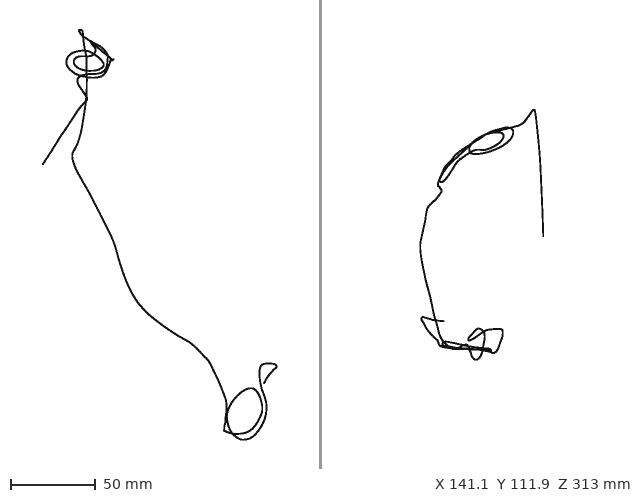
import cadquery as cq

WIRE_DIAMETER = 0.5


NEEDLE = [
    (-27.2, -55.7, 75.0), (-22.0, -53.0, 93.0), (-17.5, -50.5, 108.5), (-13.0, -48.0, 123.0),
    (-10.0, -45.7, 134.3), (-7.2, -43.5, 144.5), (-4.5, -41.3, 152.8),
]

LEAD_IN = [
    (-3.8, -40.0, 156.0), (-9.5, -39.0, 156.0), (-15.0, -38.5, 156.0), (-18.5, -37.0, 156.0),
    (-20.5, -33.5, 154.5), (-21.3, -26.3, 150.0), (-21.3, -19.7, 145.2),
]

UPPER_LOOP = [
    (-23.5, -14.0, 141.2), (-28.2, -9.0, 136.2), (-33.8, -4.7, 131.8), (-39.8, -0.3, 127.0),
    (-45.5, 1.5, 124.0), (-50.0, 1.3, 123.3), (-53.0, -2.0, 126.5), (-53.0, -3.8, 129.5),
    (-51.0, -5.0, 131.8), (-47.3, -6.0, 133.7), (-42.5, -7.2, 136.0), (-38.2, -11.3, 139.3),
]

UPPER_COIL = [
    (-36.0, -16.0, 143.0), (-37.0, -23.0, 147.0), (-34.5, -28.2, 150.5), (-29.0, -30.7, 152.5),
    (-24.7, -28.2, 151.5), (-23.2, -22.0, 147.8), (-24.0, -16.5, 144.3), (-27.2, -12.0, 141.0),
    (-31.0, -10.5, 140.0), (-35.7, -12.0, 141.2), (-39.8, -15.0, 143.5), (-40.7, -21.3, 146.8),
    (-39.0, -28.0, 150.5), (-34.7, -33.5, 153.5), (-29.0, -36.0, 155.0), (-23.2, -34.7, 154.5),
    (-19.5, -29.7, 151.8), (-18.8, -25.0, 148.0), (-19.7, -18.5, 143.5),
]

WAVE = [
    (-23.5, -13.0, 139.0), (-28.0, -8.0, 135.5), (-33.5, -2.5, 131.2), (-35.7, 0.0, 126.5),
    (-38.0, 2.5, 123.0), (-41.0, 3.8, 118.3), (-45.7, 3.8, 116.8), (-50.0, 2.2, 118.3),
    (-53.2, 0.0, 121.8), (-56.0, -1.5, 124.0), (-60.5, -4.5, 126.8), (-63.5, -4.0, 126.5),
    (-66.0, -2.8, 124.5), (-67.3, -1.0, 122.0), (-68.5, 1.5, 117.0),
]

LONG_RUN = [
    (-69.2, 2.5, 107.5), (-69.8, 3.8, 98.0), (-70.0, 5.3, 85.8), (-69.5, 5.0, 74.5),
    (-68.2, 4.5, 65.0), (-66.7, 2.8, 50.0), (-65.7, 0.5, 37.0), (-65.5, -1.5, 22.5),
    (-65.5, -3.8, 13.0), (-66.0, -5.3, 7.5), (-66.0, -7.5, 2.8), (-64.2, -8.5, -1.0),
    (-61.5, -8.5, -5.5), (-58.0, -7.8, -10.3), (-50.5, -6.3, -19.7), (-42.3, -5.3, -29.0),
    (-36.3, -5.3, -33.8), (-28.8, -5.5, -38.8), (-24.0, -6.0, -43.5), (-20.0, -6.0, -53.0),
    (-16.0, -5.5, -62.3), (-9.0, -5.3, -71.7), (-1.3, -4.7, -77.0), (5.5, -3.0, -80.0),
    (12.0, -1.3, -81.7), (19.5, 1.0, -82.5), (26.0, 4.7, -85.8), (30.7, 9.5, -90.5),
    (33.2, 12.2, -95.2), (36.0, 16.5, -104.5), (37.5, 18.8, -109.5), (40.7, 19.7, -115.2),
    (48.5, 19.0, -120.2), (55.0, 17.5, -122.0), (59.2, 16.3, -123.3), (63.2, 13.8, -125.5),
    (66.5, 11.0, -127.5), (68.0, 9.7, -129.3), (67.3, 9.5, -134.0), (66.5, 10.0, -137.0),
    (65.5, 10.5, -140.5), (64.2, 11.3, -143.5), (64.0, 13.5, -146.8),
]

LOWER_COIL = [
    (65.7, 16.5, -149.0), (67.0, 20.7, -151.0), (67.5, 25.5, -152.5), (66.7, 30.7, -153.0),
    (64.2, 36.3, -152.5), (61.0, 41.0, -149.5), (56.7, 43.0, -145.2), (53.8, 42.3, -140.5),
    (52.5, 39.8, -136.5), (52.0, 35.5, -135.0), (52.5, 29.7, -135.0), (54.5, 23.5, -136.2),
    (58.0, 17.8, -138.5), (61.7, 15.5, -141.8), (65.0, 15.5, -146.8), (68.5, 17.8, -151.0),
    (70.0, 20.7, -153.5), (70.5, 26.3, -155.5), (68.5, 32.5, -156.2), (65.5, 38.8, -155.3),
    (62.3, 43.0, -152.8), (59.0, 45.5, -149.0),
]

TAIL_HOOK = [
    (56.5, 45.7, -144.3), (54.0, 45.5, -139.5), (50.7, 46.3, -133.5), (48.5, 48.0, -128.3),
    (48.2, 49.8, -125.5), (50.7, 53.0, -124.0), (54.5, 55.7, -124.0), (55.7, 52.5, -124.5),
    (56.7, 48.8, -125.5), (59.2, 43.5, -126.8),
]


CENTRELINE = NEEDLE + LEAD_IN + UPPER_LOOP + UPPER_COIL + WAVE + LONG_RUN + LOWER_COIL + TAIL_HOOK


def smooth_path(points):
    """A wire of short curves, joined smoothly: at each point it runs parallel to the line
    between that point's two neighbours."""
    nodes = [cq.Vector(*point) for point in points]
    before = nodes[:1] + nodes[:-1]
    after = nodes[1:] + nodes[-1:]
    headings = [(ahead - behind).normalized() for behind, ahead in zip(before, after)]
    spans = zip(nodes, nodes[1:], headings, headings[1:])
    curves = [
        cq.Edge.makeSpline([start, end], tangents=[start_heading, end_heading])
        for start, end, start_heading, end_heading in spans
    ]
    return cq.Wire.assembleEdges(curves)


def round_wire(path, diameter):
    """A solid of round section that follows the path, with flat ends."""
    section_plane = cq.Plane(origin=path.positionAt(0), normal=path.tangentAt(0))
    section = cq.Workplane(section_plane).circle(diameter / 2)
    return section.sweep(cq.Workplane(obj=path))


result = round_wire(smooth_path(CENTRELINE), WIRE_DIAMETER)